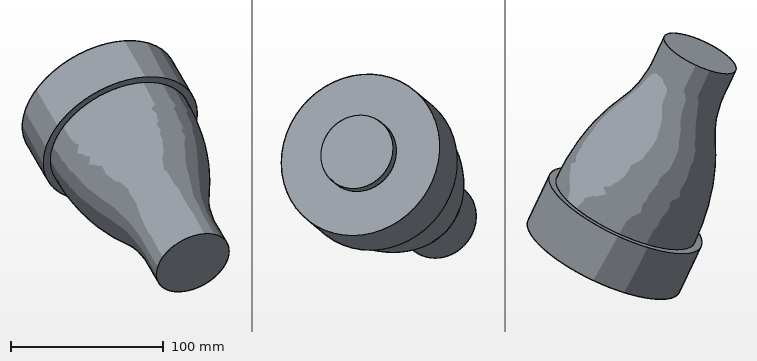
import cadquery as cq

spigot_length = 7.0
flange_length = 35.0
bell_length = 67.0
flare_length = 33.0
neck_length = 20.0

spigot_radius = 25.0
flange_radius = 55.0
bell_radius = 50.0
flare_start_radius = 34.6
neck_radius = 26.0

shared_slope = 0.52

flange_start = spigot_length
bell_start = flange_start + flange_length
flare_start = bell_start + bell_length
neck_start = flare_start + flare_length
neck_end = neck_start + neck_length

bell_handle = bell_length / 3
flare_handle = flare_length / 3

bell_curve = [
    (bell_start, bell_radius),
    (bell_start + bell_handle, bell_radius),
    (flare_start - bell_handle, flare_start_radius + shared_slope * bell_handle),
    (flare_start, flare_start_radius),
]
flare_curve = [
    (flare_start, flare_start_radius),
    (flare_start + flare_handle, flare_start_radius - shared_slope * flare_handle),
    (neck_start - flare_handle, neck_radius),
    (neck_start, neck_radius),
]


def make_half_profile():
    """Half section in the XY plane, from the axis out to the surface."""
    return (
        cq.Workplane("XY")
        .moveTo(0, 0)
        .lineTo(0, spigot_radius)
        .lineTo(flange_start, spigot_radius)
        .lineTo(flange_start, flange_radius)
        .lineTo(bell_start, flange_radius)
        .lineTo(bell_start, bell_radius)
        .bezier(bell_curve)
        .bezier(flare_curve)
        .lineTo(neck_end, neck_radius)
        .lineTo(neck_end, 0)
        .close()
    )


result = make_half_profile().revolve(360, (0, 0, 0), (1, 0, 0))